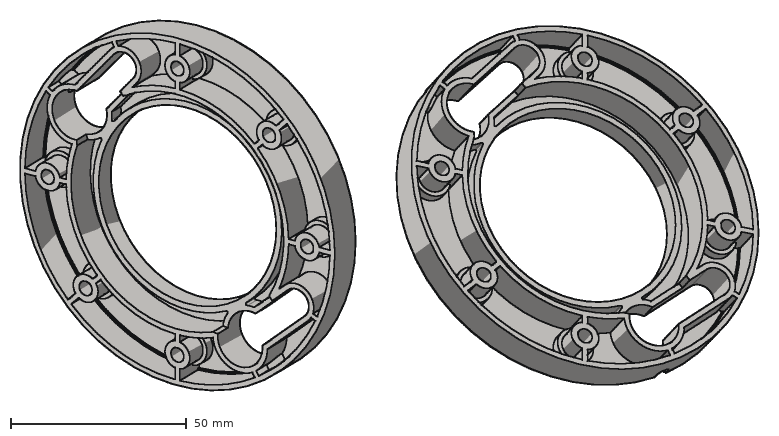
import cadquery as cq
import math

outer_diameter = 107.95
total_height = 11.36
floor_thickness = 1.5
wall = 1.7
rib_thickness = 1.6
overlap = 0.5

rim_radius = outer_diameter / 2
rim_inner_radius = rim_radius - wall
step_width = 0.65
step_height = 0.65
ledge_width = 0.45
ledge_height = floor_thickness + step_height

bore_radius = 30.4
lip_outer_radius = 32.3
ring_inner_radius = 36.45
ring_outer_radius = 38.15
lip_height = 6.2

bolt_circle_radius = 44.45
hole_diameter = 4.4
boss_diameter = 8.5
collar_diameter = 11.1
collar_height = 4.6
boss_angles = (0, 45, 90, 180, 225, 270)

keyhole_wall = 1.7
entry_radius = 7.65
entry_position_radius = 41.3
entry_angle = 148.65
shank_radius = 4.4
shank_position_radius = 44.65
shank_angle = 114.5
corner_fillet = 0.4
mirror_angle_sum = 90

notch_width = 4.1
notch_center_height = 2.2
notch_radius = notch_width / 2
cover_radius = lip_height - notch_center_height


def polar(radius, angle):
    """Point (x, z) at the given radius and angle in degrees."""
    return (radius * math.cos(math.radians(angle)), radius * math.sin(math.radians(angle)))


def plate(height_start=0.0):
    """Workplane parallel to XZ at a height; extruding goes towards the front."""
    return cq.Workplane("XZ", origin=(0, -height_start, 0))


def cylinder(radius, start, end, center=(0, 0)):
    return plate(start).center(*center).circle(radius).extrude(end - start)


def tube(outer, inner, start, end):
    return plate(start).circle(outer).circle(inner).extrude(end - start)


def radial_bar(angle, inner, outer, width, start, end):
    """Rectangular bar along a radius, turned to the given angle."""
    bar = plate(start).center((inner + outer) / 2, 0).rect(outer - inner, width).extrude(end - start)
    return bar.rotate((0, 0, 0), (0, 1, 0), -angle)


def radial_rod(angle, inner, outer, radius):
    """Round rod along a radius at the height of the cable notch."""
    rod = cq.Workplane("YZ", origin=(inner, -notch_center_height, 0)).circle(radius).extrude(outer - inner)
    return rod.rotate((0, 0, 0), (0, 1, 0), -angle)


def keyhole_body(entry, shank, margin, start, end):
    """Solid keyhole: large circle, small circle and the straight slot between them."""
    run = (shank[0] - entry[0], shank[1] - entry[1])
    length = math.hypot(*run)
    slot = plate(start).center(length / 2, 0).rect(length, 2 * (shank_radius + margin)).extrude(end - start)
    slot = slot.rotate((0, 0, 0), (0, 1, 0), -math.degrees(math.atan2(run[1], run[0])))
    slot = slot.translate((entry[0], 0, entry[1]))
    large = cylinder(entry_radius + margin, start, end, entry)
    small = cylinder(shank_radius + margin, start, end, shank)
    return slot.union(large).union(small)


def make_base():
    """Floor, rim, inner ledge, lip and ring wall."""
    base = tube(rim_radius - step_width, bore_radius, 0, floor_thickness)
    base = base.union(tube(rim_radius, rim_inner_radius, step_height, total_height))
    base = base.union(tube(rim_radius - overlap, rim_inner_radius - ledge_width, step_height, ledge_height))
    base = base.union(tube(lip_outer_radius, bore_radius, 0, lip_height))
    return base.union(tube(ring_outer_radius, ring_inner_radius, 0, total_height))


def add_bosses(body):
    """Boss, collar and two radial ribs at every screw position, then the screw holes."""
    for angle in boss_angles:
        center = polar(bolt_circle_radius, angle)
        body = body.union(cylinder(collar_diameter / 2, 0, collar_height, center))
        body = body.union(cylinder(boss_diameter / 2, 0, total_height, center))
        rib_start = ring_outer_radius - overlap
        rib_end = rim_inner_radius + overlap
        body = body.union(radial_bar(angle, rib_start, rib_end, rib_thickness, 0, total_height))
    for angle in boss_angles:
        center = polar(bolt_circle_radius, angle)
        body = body.cut(cylinder(hole_diameter / 2, 0, total_height, center))
    return body


def crossing_angle(radius):
    """Angle at the part center between the entry center and where its wall crosses a circle."""
    reach = entry_radius + keyhole_wall
    cosine = (radius**2 + entry_position_radius**2 - reach**2) / (2 * radius * entry_position_radius)
    return math.degrees(math.acos(cosine))


def low_walls(entry, shank, entry_direction):
    """Keyhole walls up to lip height, blended into the lip at two rounded corners."""
    walls = keyhole_body(entry, shank, keyhole_wall, 0, lip_height)
    walls = walls.union(cylinder(lip_outer_radius, 0, lip_height))
    corner_offset = crossing_angle(lip_outer_radius)
    for angle in (entry_direction - corner_offset, entry_direction + corner_offset):
        x, z = polar(lip_outer_radius, angle)
        corner = cq.selectors.NearestToPointSelector((x, -lip_height / 2, z))
        walls = walls.edges("|Y").edges(corner).fillet(corner_fillet)
    return walls


def wall_opening(entry, shank, entry_direction, side):
    """Prism that lowers the keyhole wall and ring wall to lip height on the channel side."""
    run = (shank[0] - entry[0], shank[1] - entry[1])
    length = math.hypot(*run)
    along = (run[0] / length, run[1] / length)
    inward = (side * along[1], -side * along[0])
    axis_distance = -(entry[0] * inward[0] + entry[1] * inward[1])
    wall_offset = shank_radius + keyhole_wall
    reach = math.sqrt(ring_inner_radius**2 - (axis_distance - wall_offset)**2)
    axis_point = tuple(reach * a - axis_distance * n for a, n in zip(along, inward))
    slot_end = tuple(p + wall_offset * n for p, n in zip(axis_point, inward))
    entry_end = polar(ring_inner_radius, entry_direction + side * crossing_angle(ring_inner_radius))
    outline = [axis_point, slot_end, (0, 0), entry_end, entry]
    return plate(lip_height).polyline(outline).close().extrude(total_height - lip_height)


def notch_cover(direction):
    """Half-round cover over the cable notch, between the rim and the keyhole wall."""
    outer_end = rim_radius - overlap
    cover = radial_rod(direction, entry_position_radius, outer_end, cover_radius)
    return cover.intersect(cylinder(outer_end, step_height, total_height))


def cable_notch(direction):
    """Round-ended notch from the back face, running through the rim into the keyhole entry."""
    outer_end = rim_radius + overlap
    notch = radial_rod(direction, entry_position_radius, outer_end, notch_radius)
    mouth = radial_bar(direction, entry_position_radius, outer_end, notch_width, 0, notch_center_height)
    return notch.union(mouth)


def add_keyhole(body, entry_direction, shank_direction):
    """Walled keyhole slot with its rim ribs and covered cable notch."""
    entry = polar(entry_position_radius, entry_direction)
    shank = polar(shank_position_radius, shank_direction)
    side = math.copysign(1, entry_direction - shank_direction)
    body = body.union(keyhole_body(entry, shank, keyhole_wall, 0, total_height))
    body = body.cut(wall_opening(entry, shank, entry_direction, side))
    body = body.cut(cylinder(ring_inner_radius, lip_height, total_height))
    body = body.union(low_walls(entry, shank, entry_direction))
    body = body.union(notch_cover(entry_direction))
    rib_end = rim_inner_radius + overlap
    for direction, start in ((entry_direction, entry_position_radius), (shank_direction, shank_position_radius)):
        body = body.union(radial_bar(direction, start, rib_end, rib_thickness, 0, total_height))
    body = body.cut(keyhole_body(entry, shank, 0, 0, total_height))
    return body.cut(cable_notch(entry_direction))


result = add_bosses(make_base())
result = add_keyhole(result, entry_angle, shank_angle)
result = add_keyhole(result, mirror_angle_sum - entry_angle, mirror_angle_sum - shank_angle)
result = result.cut(cylinder(bore_radius, 0, total_height))